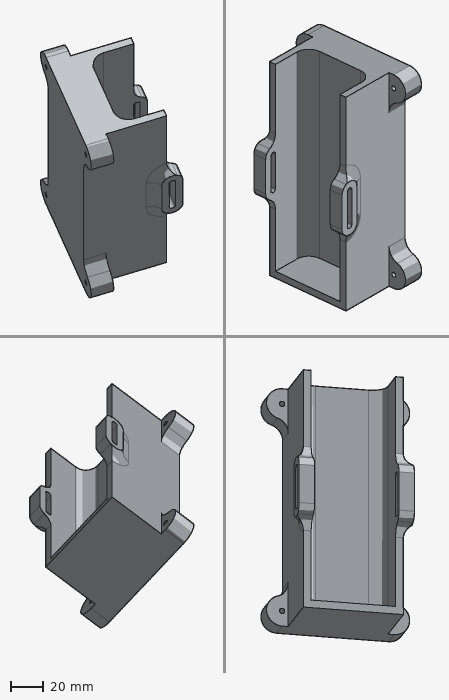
import cadquery as cq
import math

LENGTH = 155.5
BODY_WIDTH = 64.0
BODY_DEPTH = 55.0
WALL = 5.0
FLOOR = 25.0
BLEND_RADIUS = 10.0

OVERALL_WIDTH = 91.7
EAR_RADIUS = 10.0
EAR_THICKNESS = 15.0
EAR_HOLE_DIAMETER = 3.3

OVERALL_DEPTH = 64.0
LUG_RADIUS = 7.0
LUG_STRAIGHT = 25.0
LUG_PROJECTION = 5.0
SLOT_WIDTH = 4.0

half_width = BODY_WIDTH / 2
half_length = LENGTH / 2
cavity_width = BODY_WIDTH - 2 * WALL
ear_x = OVERALL_WIDTH / 2 - EAR_RADIUS
ear_z = half_length - EAR_RADIUS
lug_y = OVERALL_DEPTH - LUG_RADIUS
lug_z = LUG_STRAIGHT / 2
lug_inner_x = half_width - WALL
lug_outer_x = half_width + LUG_PROJECTION


def blend_points(center_height, radius):
    """Start, middle and end of a concave arc from a circle to a flat face.

    Each point is (height above the face, distance along it from the circle center).
    """
    reach = radius + BLEND_RADIUS
    arc_distance = math.sqrt(reach**2 - (BLEND_RADIUS - center_height) ** 2)
    circle_angle = math.atan2(-arc_distance, center_height - BLEND_RADIUS)
    face_angle = -math.pi
    angles = (circle_angle, (circle_angle + face_angle) / 2, face_angle)
    return [
        (BLEND_RADIUS + BLEND_RADIUS * math.cos(a), arc_distance + BLEND_RADIUS * math.sin(a))
        for a in angles
    ]


def make_body():
    block = cq.Workplane("XY").box(BODY_WIDTH, BODY_DEPTH, LENGTH, centered=(True, False, True))
    cavity = (
        cq.Workplane("XY", origin=(0, FLOOR, WALL - half_length))
        .box(cavity_width, BODY_DEPTH, LENGTH, centered=(True, False, False))
        .edges("|Z and <Y")
        .fillet(BLEND_RADIUS)
    )
    return block.cut(cavity)


def make_ear():
    """Ear at the +X, +Z corner."""
    start, middle, end = [
        (half_width + height, ear_z - distance)
        for height, distance in blend_points(ear_x - half_width, EAR_RADIUS)
    ]
    web = (
        cq.Workplane("XZ")
        .moveTo(half_width, half_length)
        .lineTo(ear_x, half_length)
        .lineTo(ear_x, ear_z)
        .lineTo(*start)
        .threePointArc(middle, end)
        .close()
        .extrude(-EAR_THICKNESS)
    )
    tip = cq.Workplane("XZ").center(ear_x, ear_z).circle(EAR_RADIUS).extrude(-EAR_THICKNESS)
    return web.union(tip)


def make_flare():
    """Racetrack block with its sides sweeping out to meet the +X wall."""
    spread_angle = math.acos(1 - LUG_PROJECTION / BLEND_RADIUS)
    foot_radius = LUG_RADIUS + BLEND_RADIUS * math.sin(spread_angle)
    arc_x = half_width + BLEND_RADIUS
    middle = (
        arc_x - BLEND_RADIUS * math.cos(spread_angle / 2),
        foot_radius - BLEND_RADIUS * math.sin(spread_angle / 2),
    )

    def half_profile(z):
        return (
            cq.Workplane("XY", origin=(0, lug_y, z))
            .moveTo(lug_inner_x, 0)
            .lineTo(lug_inner_x, foot_radius)
            .lineTo(half_width, foot_radius)
            .threePointArc(middle, (lug_outer_x, LUG_RADIUS))
            .lineTo(lug_outer_x, 0)
            .close()
        )

    straight = half_profile(-lug_z).extrude(LUG_STRAIGHT)
    flare = straight.union(straight.mirror("XZ", (0, lug_y, 0)))
    for z in (-lug_z, lug_z):
        flare = flare.union(half_profile(z).revolve(360, (0, 0, 0), (1, 0, 0)))
    return flare


def make_lug():
    """Lug on the +X wall, blended into the wall's side and its open edge."""
    thickness = lug_outer_x - lug_inner_x
    plane = cq.Workplane("YZ", origin=(lug_inner_x, 0, 0))
    lug_length = LUG_STRAIGHT + 2 * LUG_RADIUS
    outline = plane.center(lug_y, 0).slot2D(lug_length, 2 * LUG_RADIUS, 90).extrude(thickness)
    start, middle, end = [
        (BODY_DEPTH + height, lug_z + distance)
        for height, distance in blend_points(lug_y - BODY_DEPTH, LUG_RADIUS)
    ]
    web = (
        plane.moveTo(BODY_DEPTH, lug_z)
        .lineTo(lug_y, lug_z)
        .lineTo(*start)
        .threePointArc(middle, end)
        .close()
        .extrude(thickness)
    )
    beside_wall = cq.Workplane("XY", origin=(lug_inner_x, 0, 0)).box(
        thickness, BODY_DEPTH, LENGTH, centered=(False, False, True)
    )
    outline = outline.union(web).union(web.mirror("XY")).union(beside_wall)
    return make_flare().intersect(outline)


result = make_body()

ear = make_ear()
ear_pair = ear.union(ear.mirror("YZ"))
result = result.union(ear_pair).union(ear_pair.mirror("XY"))

lug = make_lug()
result = result.union(lug).union(lug.mirror("YZ"))

slots = (
    cq.Workplane("YZ")
    .center(lug_y, 0)
    .slot2D(LUG_STRAIGHT + SLOT_WIDTH, SLOT_WIDTH, 90)
    .extrude(lug_outer_x, both=True)
)
ear_holes = (
    cq.Workplane("XZ")
    .rect(2 * ear_x, 2 * ear_z, forConstruction=True)
    .vertices()
    .circle(EAR_HOLE_DIAMETER / 2)
    .extrude(-EAR_THICKNESS)
)
result = result.cut(slots).cut(ear_holes)